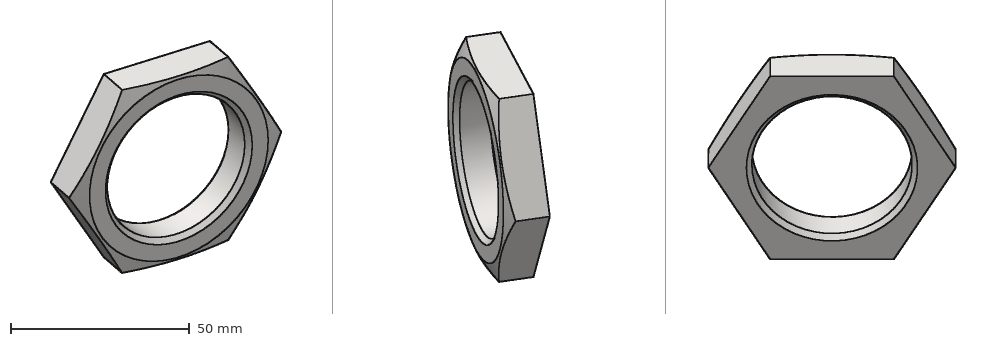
import cadquery as cq
import math

side_count = 6
thickness = 12.0
across_flats = 60.0
bore_diameter = 44.845
countersink_diameter = 47.9
countersink_angle = 45.0
corner_chamfer_angle = 20.0
corner_chamfer_depth = 2.0

across_corners = across_flats / math.cos(math.pi / side_count)
corner_radius = across_corners / 2
bore_radius = bore_diameter / 2
countersink_radius = countersink_diameter / 2
countersink_depth = (countersink_radius - bore_radius) * math.tan(math.radians(countersink_angle))


def revolve_about_x(profile_points):
    """Solid of revolution from (x, radius) points."""
    profile = cq.Workplane("XY").polyline(profile_points).close()
    return profile.revolve(360, (0, 0, 0), (1, 0, 0))


def hexagonal_body():
    return cq.Workplane("YZ").polygon(side_count, across_corners).extrude(thickness)


def chamfer_envelope():
    """Round blank whose cone trims the hexagon's corners at the +X face."""
    run = corner_chamfer_depth / math.tan(math.radians(corner_chamfer_angle))
    return revolve_about_x([
        (0, 0),
        (0, corner_radius),
        (thickness - corner_chamfer_depth, corner_radius),
        (thickness, corner_radius - run),
        (thickness, 0),
    ])


def countersunk_bore():
    """Through bore, widened by a cone at both faces."""
    return revolve_about_x([
        (0, 0),
        (0, countersink_radius),
        (countersink_depth, bore_radius),
        (thickness - countersink_depth, bore_radius),
        (thickness, countersink_radius),
        (thickness, 0),
    ])


result = hexagonal_body().intersect(chamfer_envelope()).cut(countersunk_bore())